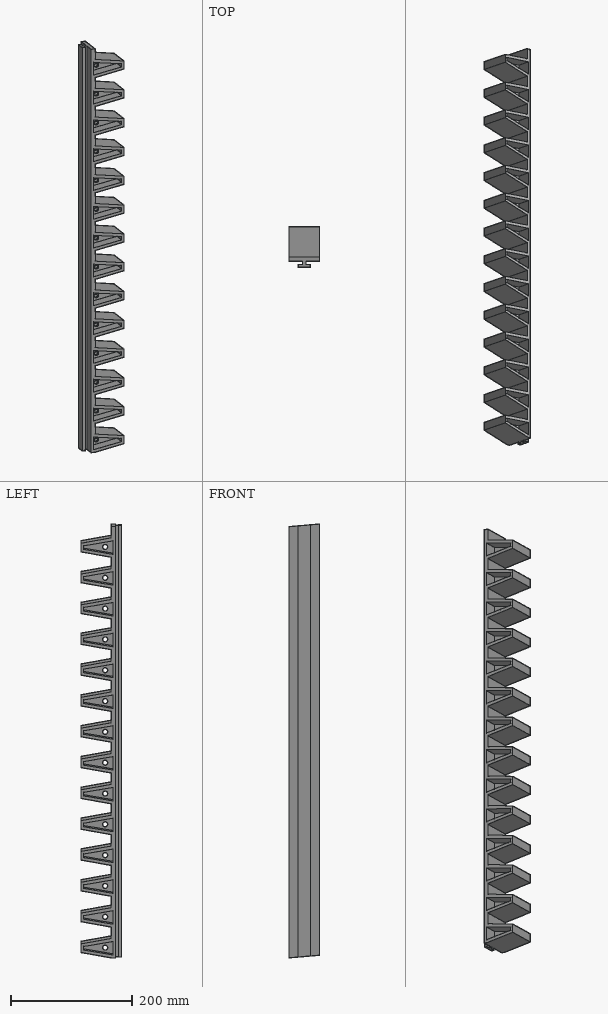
import cadquery as cq

WIDTH = 51.0
DEPTH = 67.0
LENGTH = 715.5

TOOTH_COUNT = 14
LEAD = 4.45
PITCH = (LENGTH - LEAD) / TOOTH_COUNT
TOOTH_HEIGHT = 50.0
ROOT_WIDTH = 32.0
TIP_WIDTH = 14.0

PLATE_THICKNESS = 7.0
NECK_WIDTH = 6.5
FLANGE_WIDTH = 20.0
FLANGE_THICKNESS = 5.0

WEB_THICKNESS = 4.0
POCKET_TIP_WIDTH = 6.0
POCKET_ROOT_WIDTH = 22.0
POCKET_TIP_MARGIN = 4.0
POCKET_ROOT_OVERRUN = 3.0
HOLE_DIAMETER = 8.0
HOLE_FROM_ROOT = 10.0
HOLE_RISE = 1.1

TIP_Y = DEPTH
ROOT_Y = TIP_Y - TOOTH_HEIGHT
PLATE_BACK_Y = ROOT_Y - PLATE_THICKNESS
BODY_LENGTH = TOOTH_COUNT * PITCH
POCKET_DEPTH = (WIDTH - WEB_THICKNESS) / 2
TOOTH_CENTRES = [ROOT_WIDTH / 2 + i * PITCH for i in range(TOOTH_COUNT)]


def rise_at(x):
    """Height gained by the slanted part between its low side, x = 0, and x."""
    return LEAD * x / WIDTH


def slanted_prism(outline, x_start, x_width):
    """Solid between a closed (y, z) outline at x_start and the same outline raised at the far side."""
    def section(x):
        points = [cq.Vector(x, y, z + rise_at(x)) for y, z in outline]
        return cq.Wire.makePolygon(points, close=True)

    ends = [section(x_start), section(x_start + x_width)]
    return cq.Workplane(cq.Solid.makeLoft(ends, True))


def rail_bar(y_start, y_end, x_width):
    """Full-length bar centred across the width."""
    outline = [(y_start, 0), (y_end, 0), (y_end, BODY_LENGTH), (y_start, BODY_LENGTH)]
    return slanted_prism(outline, (WIDTH - x_width) / 2, x_width)


def trapezoid(y_root, root_width, y_tip, tip_width, z_centre):
    """Outline points of a tooth-like shape, from its lower root corner round the tip to the upper one."""
    return [
        (y_root, z_centre - root_width / 2),
        (y_tip, z_centre - tip_width / 2),
        (y_tip, z_centre + tip_width / 2),
        (y_root, z_centre + root_width / 2),
    ]


def toothed_plate():
    """Plate and teeth in one outline; the lowest tooth starts at the lower end of the plate."""
    outline = [(PLATE_BACK_Y, BODY_LENGTH), (PLATE_BACK_Y, 0)]
    for z_centre in TOOTH_CENTRES:
        outline += trapezoid(ROOT_Y, ROOT_WIDTH, TIP_Y, TIP_WIDTH, z_centre)
    outline.append((ROOT_Y, BODY_LENGTH))
    return slanted_prism(outline, 0, WIDTH)


def tooth_cuts(z_centre):
    """Pocket from each side and the hole through the web between them."""
    outline = trapezoid(
        ROOT_Y - POCKET_ROOT_OVERRUN, POCKET_ROOT_WIDTH,
        TIP_Y - POCKET_TIP_MARGIN, POCKET_TIP_WIDTH, z_centre,
    )
    near_pocket = slanted_prism(outline, 0, POCKET_DEPTH)
    far_pocket = slanted_prism(outline, WIDTH - POCKET_DEPTH, POCKET_DEPTH)
    hole = (
        cq.Workplane("YZ", origin=(POCKET_DEPTH, 0, 0))
        .center(ROOT_Y + HOLE_FROM_ROOT, z_centre + HOLE_RISE)
        .circle(HOLE_DIAMETER / 2)
        .extrude(WEB_THICKNESS)
    )
    return [near_pocket, far_pocket, hole]


result = toothed_plate()
result = result.union(rail_bar(0, PLATE_BACK_Y, NECK_WIDTH))
result = result.union(rail_bar(0, FLANGE_THICKNESS, FLANGE_WIDTH))
for z_centre in TOOTH_CENTRES:
    for cut in tooth_cuts(z_centre):
        result = result.cut(cut)